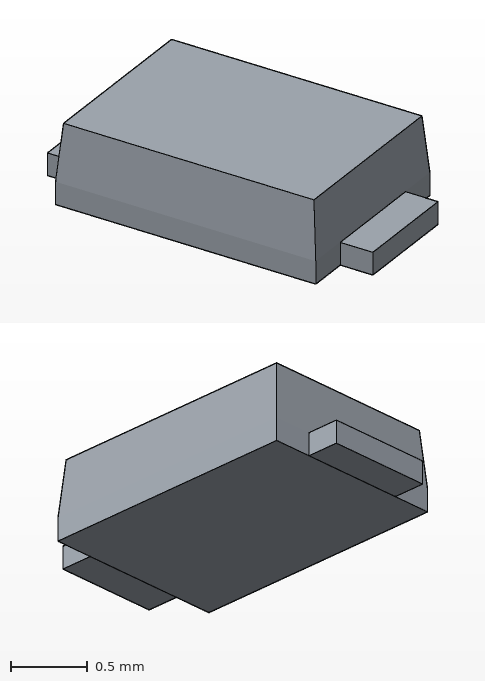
import cadquery as cq
import math

overall_length = 2.5
housing_width = 1.4
overall_height = 0.6

housing_length = 2.0
base_height = 0.17
draft_angle = 5.0

terminal_width = 0.8
terminal_height = base_height
terminal_length = (overall_length - housing_length) / 2

upper_height = overall_height - base_height
draft_inset = upper_height * math.tan(math.radians(draft_angle))


def make_housing():
    """Rectangular base band that narrows to a smaller flat top."""
    base = cq.Workplane("XY").box(
        housing_length, housing_width, base_height, centered=(True, True, False)
    )
    return (
        base.faces(">Z")
        .workplane()
        .rect(housing_length, housing_width)
        .workplane(offset=upper_height)
        .rect(housing_length - 2 * draft_inset, housing_width - 2 * draft_inset)
        .loft(ruled=True)
    )


def make_terminal(side):
    """Terminal block touching the housing end on the given X side (-1 or +1)."""
    center_x = side * (housing_length + terminal_length) / 2
    return (
        cq.Workplane("XY")
        .center(center_x, 0)
        .box(terminal_length, terminal_width, terminal_height, centered=(True, True, False))
    )


housing = make_housing()
terminals = [make_terminal(side) for side in (-1, 1)]

result = cq.Compound.makeCompound(
    [housing.val(), *[terminal.val() for terminal in terminals]]
)